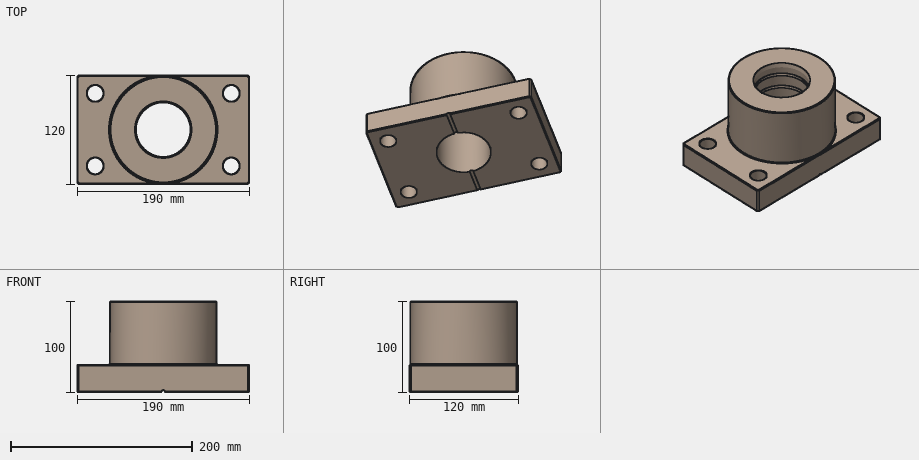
import cadquery as cq
import math

PLATE_LENGTH = 190.0
PLATE_WIDTH = 120.0
PLATE_THICKNESS = 30.0
CORNER_CHAMFER = 2.0
PLATE_EDGE_CHAMFER = 1.0

TOTAL_HEIGHT = 100.0
BOSS_RADIUS = 59.0
BOSS_EDGE_CHAMFER = 1.0
BASE_FILLET = 1.0

BORE_RADIUS = 30.0
LEAD_IN_DEPTH = 5.0
LEAD_IN_ANGLE = 15.0
LEAD_IN_WIDTH = LEAD_IN_DEPTH * math.tan(math.radians(LEAD_IN_ANGLE))
GROOVE_RADIUS = 2.0
GROOVE_DEPTH = 1.0
GROOVE_HALF_WIDTH = math.sqrt(GROOVE_RADIUS**2 - (GROOVE_RADIUS - GROOVE_DEPTH) ** 2)
FIRST_GROOVE_DEPTH = 15.0
GROOVE_PITCH = 17.0
GROOVE_COUNT = 2

HOLE_DIAMETER = 18.0
HOLE_CHAMFER = 0.5
HOLE_SPACING_X = 150.0
HOLE_SPACING_Y = 80.0

CHANNEL_RADIUS = 2.0


def make_plate():
    plate = cq.Workplane("XY").box(PLATE_LENGTH, PLATE_WIDTH, PLATE_THICKNESS, centered=(True, True, False))
    plate = plate.edges("|Z").chamfer(CORNER_CHAMFER)
    return plate.faces("<Z or >Z").edges().chamfer(PLATE_EDGE_CHAMFER)


def make_boss():
    """Cylinder with a chamfered top rim, running down through the plate to Z = 0."""
    boss = cq.Workplane("XY").circle(BOSS_RADIUS).extrude(TOTAL_HEIGHT)
    return boss.faces(">Z").edges().chamfer(BOSS_EDGE_CHAMFER)


def make_base_fillet():
    """Concave fillet ring at the foot of the boss, trimmed to the flat top of the plate."""
    outer = BOSS_RADIUS + BASE_FILLET
    top = PLATE_THICKNESS + BASE_FILLET
    sag = BASE_FILLET * (1 - math.sqrt(0.5))
    ring = (
        cq.Workplane("XZ")
        .moveTo(BORE_RADIUS, PLATE_THICKNESS)
        .lineTo(outer, PLATE_THICKNESS)
        .threePointArc((BOSS_RADIUS + sag, PLATE_THICKNESS + sag), (BOSS_RADIUS, top))
        .lineTo(BORE_RADIUS, top)
        .close()
        .revolve(360, (0, 0, 0), (0, 1, 0))
    )
    flat_width = PLATE_WIDTH - 2 * PLATE_EDGE_CHAMFER
    trim = cq.Workplane("XY").box(PLATE_LENGTH, flat_width, 2 * TOTAL_HEIGHT)
    return ring.intersect(trim)


def make_bore():
    """Cutter for the bore: one revolved outline with the lead-in cone and the grooves."""
    outline = (
        cq.Workplane("XZ")
        .lineTo(0, TOTAL_HEIGHT)
        .lineTo(BORE_RADIUS + LEAD_IN_WIDTH, TOTAL_HEIGHT)
        .lineTo(BORE_RADIUS, TOTAL_HEIGHT - LEAD_IN_DEPTH)
    )
    for index in range(GROOVE_COUNT):
        z = TOTAL_HEIGHT - FIRST_GROOVE_DEPTH - index * GROOVE_PITCH
        upper_lip = (BORE_RADIUS, z + GROOVE_HALF_WIDTH)
        bottom = (BORE_RADIUS + GROOVE_DEPTH, z)
        lower_lip = (BORE_RADIUS, z - GROOVE_HALF_WIDTH)
        outline = outline.lineTo(*upper_lip).threePointArc(bottom, lower_lip)
    return outline.lineTo(BORE_RADIUS, 0).close().revolve(360, (0, 0, 0), (0, 1, 0))


def make_mounting_holes():
    """Cutters for the four holes, each widening to the upper chamfer."""
    radius = HOLE_DIAMETER / 2
    hole = (
        cq.Workplane("XZ")
        .lineTo(radius, 0)
        .lineTo(radius, PLATE_THICKNESS - HOLE_CHAMFER)
        .lineTo(radius + HOLE_CHAMFER, PLATE_THICKNESS)
        .lineTo(0, PLATE_THICKNESS)
        .close()
        .revolve(360, (0, 0, 0), (0, 1, 0))
    )
    centres = cq.Workplane("XY").rect(HOLE_SPACING_X, HOLE_SPACING_Y, forConstruction=True).vertices()
    return centres.eachpoint(lambda place: hole.val().moved(place))


def make_channel():
    return cq.Workplane("XZ").circle(CHANNEL_RADIUS).extrude(PLATE_WIDTH / 2, both=True)


body = make_plate().union(make_boss()).union(make_base_fillet())
result = body.cut(make_bore()).cut(make_mounting_holes()).cut(make_channel())